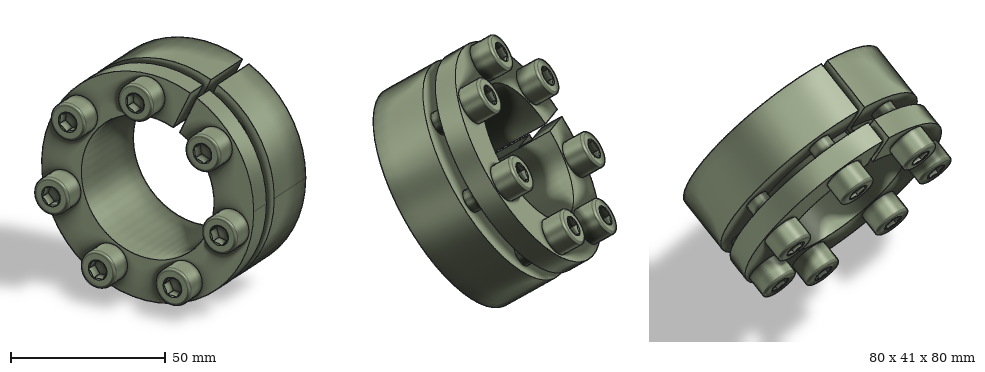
import cadquery as cq

outer_diameter = 80.0
bore_diameter = 50.0
hub_front_diameter = 54.8
hub_rear_diameter = 54.3
flange_thickness = 8.0
gap_width = 5.0
rear_thickness = 20.0
rear_disc_start = flange_thickness + gap_width
ring_length = rear_disc_start + rear_thickness

screw_count = 7
screw_pitch_angle = 360.0 / screw_count
bolt_circle_radius = 32.5
shank_diameter = 8.0
head_diameter = 13.0
head_height = 8.0
head_fillet = 0.8
socket_sides = 6
socket_width = 6.0
socket_depth = 4.0
socket_countersink_diameter = 7.0
socket_countersink_depth = 0.3
thread_engagement = 10.0
shank_length = rear_disc_start + thread_engagement

slit_width = 2.7
slit_angle = screw_pitch_angle / 2


def rod(diameter, start, end):
    """Cylinder on the Y axis from Y = start to Y = end."""
    return cq.Workplane("XZ", origin=(0, start, 0)).circle(diameter / 2).extrude(start - end)


def cone(start_diameter, end_diameter, start, end):
    """Tapered rod on the Y axis from Y = start to Y = end."""
    solid = cq.Solid.makeCone(
        start_diameter / 2,
        end_diameter / 2,
        end - start,
        pnt=cq.Vector(0, start, 0),
        dir=cq.Vector(0, 1, 0),
    )
    return cq.Workplane(obj=solid)


def to_bolt_circle(shape, index):
    """Move a shape out to the bolt circle and turn it round to one screw position."""
    raised = shape.translate((0, 0, bolt_circle_radius))
    return raised.rotate((0, 0, 0), (0, 1, 0), index * screw_pitch_angle)


def make_screw():
    """Socket head screw on the Y axis, with its head seated at Y = 0."""
    head = rod(head_diameter, -head_height, 0).faces("<Y").edges().fillet(head_fillet)
    socket = (
        cq.Workplane("XZ", origin=(0, -head_height, 0))
        .polygon(socket_sides, socket_width, circumscribed=True)
        .extrude(-socket_depth)
    )
    countersink = cone(
        socket_countersink_diameter,
        socket_width,
        -head_height,
        -head_height + socket_countersink_depth,
    )
    shank = rod(shank_diameter, 0, shank_length)
    return head.union(shank).cut(socket).cut(countersink)


def make_clamp_ring():
    """Slit ring with a groove between its two discs and a hole for each screw."""
    flange = rod(outer_diameter, 0, flange_thickness)
    hub = cone(hub_front_diameter, hub_rear_diameter, flange_thickness, rear_disc_start)
    rear_disc = rod(outer_diameter, rear_disc_start, ring_length)
    ring = flange.union(hub).union(rear_disc).cut(rod(bore_diameter, 0, ring_length))
    for index in range(screw_count):
        ring = ring.cut(to_bolt_circle(rod(shank_diameter, 0, shank_length), index))
    slit = (
        cq.Workplane("XY")
        .box(slit_width, ring_length, outer_diameter, centered=(True, False, False))
        .rotate((0, 0, 0), (0, 1, 0), slit_angle)
    )
    return ring.cut(slit)


clamp_ring = make_clamp_ring()
screw = make_screw()
screws = [to_bolt_circle(screw, index) for index in range(screw_count)]

result = cq.Compound.makeCompound([clamp_ring.val()] + [placed.val() for placed in screws])